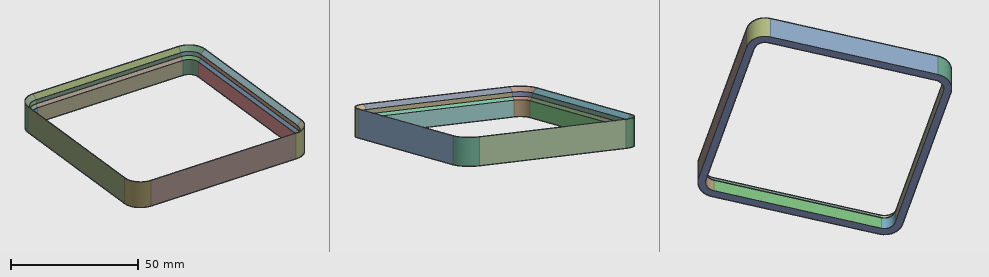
import cadquery as cq

side = 83.5
height = 11.7
corner_radius = 7.5

upper_chamfer = 1.9
step_height = 1.8
lower_chamfer = 1.2
flare_angle = 45.0

step_top = height - upper_chamfer
step_bottom = step_top - step_height
wall_top = step_bottom - lower_chamfer
wall_thickness = upper_chamfer + lower_chamfer


def rounded_block(inset, bottom, top):
    """Rounded square block whose sides lie `inset` inside the outer faces."""
    width = side - 2 * inset
    return (
        cq.Workplane("XY")
        .workplane(offset=bottom)
        .rect(width, width)
        .extrude(top - bottom)
        .edges("|Z")
        .fillet(corner_radius - inset)
    )


def flared_block(top_inset, bottom, top):
    """Rounded square block narrowing downwards at 45 degrees from `top_inset`."""
    width = side - 2 * top_inset
    return (
        cq.Workplane("XY")
        .workplane(offset=top)
        .sketch()
        .rect(width, width)
        .vertices()
        .fillet(corner_radius - top_inset)
        .finalize()
        .extrude(bottom - top, taper=flare_angle)
    )


bore = rounded_block(wall_thickness, 0, wall_top)
lower_flare = flared_block(upper_chamfer, wall_top, step_bottom)
step = rounded_block(upper_chamfer, step_bottom, step_top)
upper_flare = flared_block(0, step_top, height)

result = rounded_block(0, 0, height)
for opening in (bore, lower_flare, step, upper_flare):
    result = result.cut(opening)